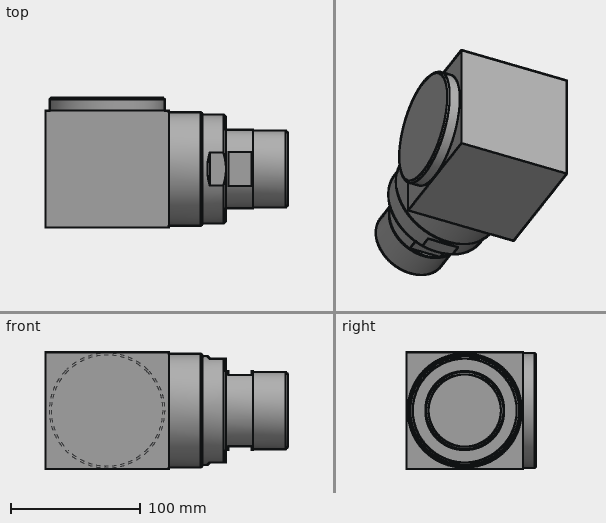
import cadquery as cq

block_length = 95.0
block_size = 90.0

cover_diameter = 88.8
cover_height = 10.0
cover_chamfer = 1.5

collar_diameter = 87.8
collar_end = 26.0
collar_chamfer = 1.5
flange_diameter = 84.0
flange_end = 44.0
flange_chamfer = 2.0
neck_diameter = 60.8
neck_end = 64.8
end_diameter = 59.61
spigot_length = 91.8
end_chamfer = 2.0

flange_flat_spacing = 80.0
flange_flat_start = 31.6
neck_flat_spacing = 55.0
neck_flat_length = 18.0
neck_flat_shoulder = 1.0


def make_block():
    """Block centred on the X axis, with its +X face at x = 0."""
    return cq.Workplane("XY").box(block_length, block_size, block_size).translate((-block_length / 2, 0, 0))


def make_cover():
    """Chamfered disc standing on the middle of the block's +Y face."""
    return (
        cq.Workplane("XZ", origin=(-block_length / 2, block_size / 2, 0))
        .circle(cover_diameter / 2)
        .extrude(-cover_height)
        .faces(">Y")
        .chamfer(cover_chamfer)
    )


def make_spigot():
    """Revolve the stepped collar, flange, neck and end about the X axis."""
    collar_radius = collar_diameter / 2
    flange_radius = flange_diameter / 2
    neck_radius = neck_diameter / 2
    end_radius = end_diameter / 2
    profile = [
        (0, 0),
        (0, collar_radius),
        (collar_end - collar_chamfer, collar_radius),
        (collar_end, collar_radius - collar_chamfer),
        (collar_end, flange_radius),
        (flange_end - flange_chamfer, flange_radius),
        (flange_end, flange_radius - flange_chamfer),
        (flange_end, neck_radius),
        (neck_end, neck_radius),
        (neck_end, end_radius),
        (spigot_length - end_chamfer, end_radius),
        (spigot_length, end_radius - end_chamfer),
        (spigot_length, 0),
    ]
    return cq.Workplane("XY").polyline(profile).close().revolve(360, (0, 0, 0), (1, 0, 0))


def cut_flat_pair(body, side_profile, width):
    """Cut a side profile in XZ, and its mirror image below the axis, across the width."""
    upper = cq.Workplane("XZ").polyline(side_profile).close().extrude(width / 2, both=True)
    return body.cut(upper).cut(upper.mirror("XY"))


def cut_flange_flats(body):
    """Flats open at the flange end, with a 45 degree run-out toward the collar."""
    floor = flange_flat_spacing / 2
    top = flange_diameter / 2
    run_out = top - floor
    side_profile = [
        (flange_flat_start, floor),
        (flange_end, floor),
        (flange_end, top),
        (flange_flat_start - run_out, top),
    ]
    return cut_flat_pair(body, side_profile, flange_diameter)


def cut_neck_flats(body):
    """Square-ended flats that leave a thin shoulder at the end of the neck."""
    floor = neck_flat_spacing / 2
    top = neck_diameter / 2
    flat_end = neck_end - neck_flat_shoulder
    flat_start = flat_end - neck_flat_length
    side_profile = [
        (flat_start, floor),
        (flat_end, floor),
        (flat_end, top),
        (flat_start, top),
    ]
    return cut_flat_pair(body, side_profile, neck_diameter)


spigot = cut_neck_flats(cut_flange_flats(make_spigot()))
result = make_block().union(make_cover()).union(spigot)